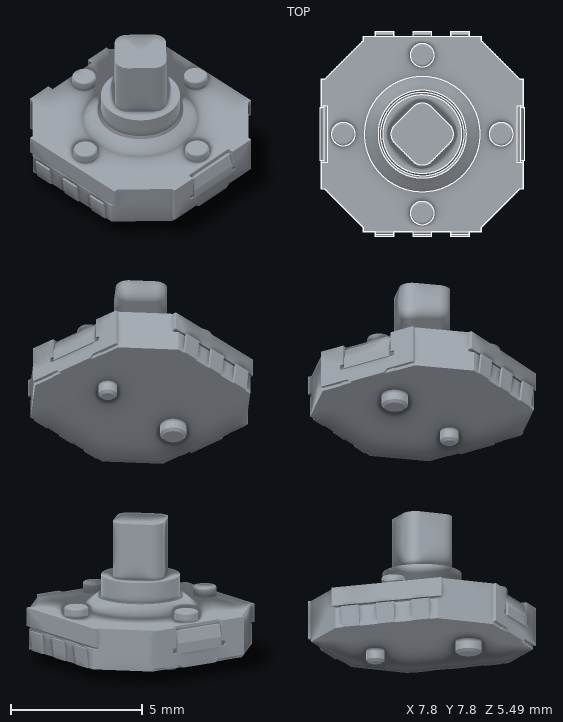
import cadquery as cq
import math

housing_height = 1.6
base_half_x = 3.71
base_half_y = 3.72
corner_sum = 5.8

pad_x = 3.745
pad_half_width = 1.2

flap_depth = 0.17
front_flap_half_width = 2.25
front_gap_bottom = 0.79
front_gap_height = 0.09

side_flap_x = 3.845
side_flap_half_width = 2.09
tongue_half_width = 0.765
tongue_height = 0.125

window_half_width = 1.08
window_bottom = 0.6
relief_half_width = 1.24
relief_height = 0.2
relief_radius = 0.08
ledge_z = 1.44
ledge_x = 3.61
tab_half_width = 1.01
tab_bend_z = 0.98
tab_x = 3.9

terminal_width = 0.71
terminal_pitch = 1.435
terminal_thickness = 0.085
terminal_top_y = 3.9
terminal_foot_y = 3.775

cone_base_radius = 2.2
cone_top_radius = 1.68
cone_top_z = 2.035
groove_depth = 0.085

nub_diameter = 0.9
nub_top_diameter = 0.7
nub_top_z = 1.99
nub_offset = 3.0

peg_length = 0.5
peg_chamfer = 0.1
peg_offset = 1.9
small_peg_diameter = 0.7
large_peg_diameter = 1.0

shoulder_diameter = 3.0
shoulder_top_z = 2.82
stem_top_z = 4.99
shaft_side = 1.96
shaft_corner_radius = 0.48
shoulder_radius = shoulder_diameter / 2
stem_foot_radius = cone_top_radius - groove_depth
groove_bottom_z = cone_top_z - groove_depth


def box(x0, x1, y0, y1, z0, z1):
    """Axis-aligned box between two opposite corners."""
    return cq.Workplane("XY").box(x1 - x0, y1 - y0, z1 - z0, centered=False).translate((x0, y0, z0))


def both_sides(solid, mirror_plane):
    """The solid together with its mirror image."""
    return solid.union(solid.mirror(mirror_plane))


def make_block():
    """Octagonal block with side pads, set back on +Y and -Y above the terminals."""
    reach = corner_sum * math.sqrt(2)
    diagonal_square = cq.Workplane("XY").rect(reach, reach).extrude(housing_height)
    block = box(-base_half_x, base_half_x, -base_half_y, base_half_y, 0, housing_height)
    block = block.intersect(diagonal_square.rotate((0, 0, 0), (0, 0, 1), 45))
    setback = box(-base_half_x, base_half_x, -base_half_y, flap_depth - base_half_y,
                  front_gap_bottom, housing_height)
    pads = box(-pad_x, pad_x, -pad_half_width, pad_half_width, 0, housing_height)
    return block.cut(both_sides(setback, "XZ")).union(pads)


def make_front_flap():
    """Plain cover flap on the -Y side."""
    return box(-front_flap_half_width, front_flap_half_width, -base_half_y, flap_depth - base_half_y,
               front_gap_bottom + front_gap_height, housing_height)


def make_side_flap():
    """Cover flap on the -X side, narrowed to a tongue at its foot."""
    shoulder_half_width = tongue_half_width + tongue_height
    right_edge = [(tongue_half_width, 0), (shoulder_half_width, tongue_height),
                  (side_flap_half_width, tongue_height), (side_flap_half_width, housing_height)]
    left_edge = [(-y, z) for y, z in reversed(right_edge)]
    outline = cq.Workplane("YZ").polyline(right_edge + left_edge).close()
    return outline.extrude(side_flap_x - base_half_x).translate((-side_flap_x, 0, 0))


def make_window():
    """Cutter for the window, its corner reliefs and the deeper notch above the ledge."""
    opening = box(-side_flap_x, -pad_x, -window_half_width, window_half_width, window_bottom, housing_height)
    relief = box(-side_flap_x, -pad_x, -relief_half_width, relief_half_width,
                 window_bottom, window_bottom + relief_height).edges("|X").fillet(relief_radius)
    notch = box(-side_flap_x, -ledge_x, -window_half_width, window_half_width, ledge_z, housing_height)
    return opening.union(relief).union(notch)


def make_tab():
    """Snap tab in the window: upright foot, then leaning in to the ledge."""
    profile = [(-pad_x, window_bottom), (-tab_x, window_bottom),
               (-tab_x, tab_bend_z), (-pad_x, ledge_z)]
    return cq.Workplane("XZ").polyline(profile).close().extrude(tab_half_width, both=True)


def make_terminals():
    """Row of three terminals leaning outward on the -Y side."""
    profile = [(-terminal_foot_y, 0), (-terminal_top_y, front_gap_bottom),
               (terminal_thickness - terminal_top_y, front_gap_bottom),
               (terminal_thickness - terminal_foot_y, 0)]
    terminal = cq.Workplane("YZ").polyline(profile).close().extrude(terminal_width / 2, both=True)
    row = terminal
    for step in (-1, 1):
        row = row.union(terminal.translate((step * terminal_pitch, 0, 0)))
    return row


def make_cone():
    """Raised cone on the top face around the stem."""
    profile = [(0, housing_height), (cone_base_radius, housing_height),
               (cone_top_radius, cone_top_z), (0, cone_top_z)]
    return cq.Workplane("XZ").polyline(profile).close().revolve(360, (0, 0), (0, 1))


def make_stem_seat():
    """Cutter for the stem's recess, flared at the rim of the cone."""
    profile = [(0, housing_height), (stem_foot_radius, housing_height),
               (stem_foot_radius, groove_bottom_z), (cone_top_radius, cone_top_z), (0, cone_top_z)]
    return cq.Workplane("XZ").polyline(profile).close().revolve(360, (0, 0), (0, 1))


def make_nubs():
    """Four round nubs on the top face, one toward each side."""
    nubs = cq.Workplane("XY", origin=(0, 0, housing_height)).polarArray(nub_offset, 0, 360, 4)
    nubs = nubs.circle(nub_diameter / 2).extrude(nub_top_z - housing_height)
    return nubs.faces(">Z").edges().fillet((nub_diameter - nub_top_diameter) / 2)


def make_peg(diameter, x):
    """Chamfered locating peg hanging below the housing."""
    peg = cq.Workplane("XY").center(x, 0).circle(diameter / 2).extrude(-peg_length)
    return peg.faces("<Z").edges().chamfer(peg_chamfer)


def make_housing():
    side_flap = make_side_flap().cut(make_window())
    housing = make_block().cut(both_sides(make_window(), "YZ"))
    housing = housing.union(both_sides(make_front_flap(), "XZ"))
    housing = housing.union(both_sides(side_flap, "YZ"))
    housing = housing.union(both_sides(make_tab(), "YZ"))
    housing = housing.union(both_sides(make_terminals(), "XZ"))
    housing = housing.union(make_cone()).cut(make_stem_seat())
    housing = housing.union(make_nubs())
    housing = housing.union(make_peg(small_peg_diameter, -peg_offset))
    return housing.union(make_peg(large_peg_diameter, peg_offset))


def make_stem():
    profile = [(0, housing_height), (stem_foot_radius, housing_height),
               (stem_foot_radius, groove_bottom_z), (shoulder_radius, cone_top_z),
               (shoulder_radius, shoulder_top_z), (0, shoulder_top_z)]
    shoulder = cq.Workplane("XZ").polyline(profile).close().revolve(360, (0, 0), (0, 1))
    shaft = cq.Workplane("XY", origin=(0, 0, shoulder_top_z)).rect(shaft_side, shaft_side)
    shaft = shaft.extrude(stem_top_z - shoulder_top_z).edges("|Z").fillet(shaft_corner_radius)
    return shoulder.union(shaft.rotate((0, 0, 0), (0, 0, 1), 45))


housing = make_housing()
stem = make_stem()
result = cq.Compound.makeCompound([housing.val(), stem.val()])